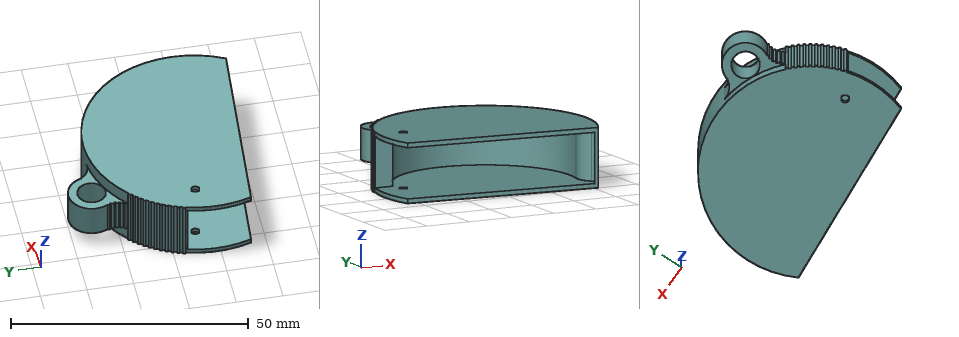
import cadquery as cq
import math

case_radius = 23.75
case_height = 13.0
plate_thickness = 1.0
chord_left = (-22.45, -7.7)
chord_right = (21.0, -11.12)
cut_margin = 9.5

cavity_radius = 19.82
lip_thickness = 0.75
cavity_height = case_height - 2 * plate_thickness
thin_wall_radius = case_radius - lip_thickness
wall_end_y = 6.05
flare_start_angle = -11.4
flare_radius = 5.0
flare_fillet = 1.0
cavity_end_angle = -40.0

lug_distance = 26.8
lug_angle = 115.0
lug_radius = 5.0
lug_hole_radius = 3.0
lug_height = 7.0
lug_fillet = 4.0

pin_position = (-17.75, 3.35)
pin_hole_radius = 0.85

ridge_radius = 0.3
case_ridge_count = 11
case_ridge_start = 16.4
case_ridge_pitch = 3.0
lug_ridge_count = 5
lug_ridge_start = -33.0
lug_ridge_pitch = 13.5


def polar(radius, angle, center=(0.0, 0.0)):
    """Point at a radius and an angle in degrees about a center."""
    turn = math.radians(angle)
    return (center[0] + radius * math.cos(turn), center[1] + radius * math.sin(turn))


def toward(start, end, distance):
    """Point at a distance from start along the line to end."""
    return polar(distance, direction(start, end), start)


def direction(start, end):
    """Angle in degrees of the line from start to end."""
    return math.degrees(math.atan2(end[1] - start[1], end[0] - start[0]))


def corner_angle(side_a, side_b, opposite):
    """Triangle angle in degrees between side_a and side_b."""
    return math.degrees(math.acos((side_a**2 + side_b**2 - opposite**2) / (2 * side_a * side_b)))


def arc_middle(center, radius, start, end):
    """Middle of the shorter arc between two points on a circle."""
    chord_middle = ((start[0] + end[0]) / 2, (start[1] + end[1]) / 2)
    return toward(center, chord_middle, radius)


def prism(outline, height):
    """Extrude an outline symmetrically about the XY plane."""
    return outline.extrude(height / 2, both=True)


origin = (0.0, 0.0)
plane = cq.Workplane("XY")


def make_chord_cut():
    """Block that removes everything below the chord."""
    slope = (chord_right[1] - chord_left[1]) / (chord_right[0] - chord_left[0])
    left_x = -case_radius - cut_margin
    right_x = case_radius + cut_margin
    bottom_y = -case_radius - cut_margin
    outline = plane.polyline([
        (left_x, chord_left[1] + slope * (left_x - chord_left[0])),
        (right_x, chord_left[1] + slope * (right_x - chord_left[0])),
        (right_x, bottom_y),
        (left_x, bottom_y),
    ]).close()
    return prism(outline, case_height)


def make_cavity():
    """Round cavity whose right wall flares out to a thin lip, open to the lower left."""
    flare_distance = cavity_radius + flare_radius
    flare_center = polar(flare_distance, flare_start_angle)
    fillet_distance = thin_wall_radius - flare_fillet
    fillet_turn = corner_angle(flare_distance, fillet_distance, flare_radius + flare_fillet)
    fillet_angle = flare_start_angle - fillet_turn
    fillet_center = polar(fillet_distance, fillet_angle)

    wall_end = (-math.sqrt(cavity_radius**2 - wall_end_y**2), wall_end_y)
    flare_start = polar(cavity_radius, flare_start_angle)
    flare_end = toward(flare_center, fillet_center, flare_radius)
    flare_middle = arc_middle(flare_center, flare_radius, flare_start, flare_end)
    lip_start = polar(thin_wall_radius, fillet_angle)
    fillet_middle = arc_middle(fillet_center, flare_fillet, flare_end, lip_start)
    lip_middle = polar(thin_wall_radius, (fillet_angle + cavity_end_angle) / 2)
    lip_end = polar(thin_wall_radius, cavity_end_angle)

    outside_x = -case_radius - cut_margin
    outside_y = -case_radius - cut_margin
    outline = (
        plane.moveTo(outside_x, wall_end_y)
        .lineTo(*wall_end)
        .threePointArc((0, cavity_radius), flare_start)
        .threePointArc(flare_middle, flare_end)
        .threePointArc(fillet_middle, lip_start)
        .threePointArc(lip_middle, lip_end)
        .lineTo(lip_end[0], outside_y)
        .lineTo(outside_x, outside_y)
        .close()
    )
    return prism(outline, cavity_height)


lug_center = polar(lug_distance, lug_angle)
blend_distance = case_radius + lug_fillet
blend_turn = corner_angle(blend_distance, lug_distance, lug_radius + lug_fillet)
right_blend = polar(blend_distance, lug_angle - blend_turn)
left_blend = polar(blend_distance, lug_angle + blend_turn)


def make_lug():
    right_foot = toward(right_blend, origin, lug_fillet)
    right_neck = toward(right_blend, lug_center, lug_fillet)
    left_neck = toward(left_blend, lug_center, lug_fillet)
    left_foot = toward(left_blend, origin, lug_fillet)
    outline = (
        plane.moveTo(*right_foot)
        .threePointArc(arc_middle(right_blend, lug_fillet, right_foot, right_neck), right_neck)
        .threePointArc(polar(lug_radius, lug_angle, lug_center), left_neck)
        .threePointArc(arc_middle(left_blend, lug_fillet, left_neck, left_foot), left_foot)
        .close()
    )
    return prism(outline, lug_height)


def make_ridges(center, radius, start, pitch, count, height):
    """Row of small cylinders half sunk in a round wall."""
    places = [polar(radius, start + i * pitch, center) for i in range(count)]
    return prism(plane.pushPoints(places).circle(ridge_radius), height)


case_ridges = make_ridges(
    origin, case_radius, 180 - case_ridge_start, -case_ridge_pitch, case_ridge_count, case_height
)
lug_ridges = make_ridges(
    left_blend, lug_fillet, lug_ridge_start, lug_ridge_pitch, lug_ridge_count, lug_height
)
lug_hole = prism(plane.center(*lug_center).circle(lug_hole_radius), lug_height)
pin_holes = prism(plane.center(*pin_position).circle(pin_hole_radius), case_height)

result = (
    prism(plane.circle(case_radius), case_height)
    .union(make_lug())
    .union(case_ridges)
    .union(lug_ridges)
    .cut(make_chord_cut())
    .cut(make_cavity())
    .cut(lug_hole)
    .cut(pin_holes)
)